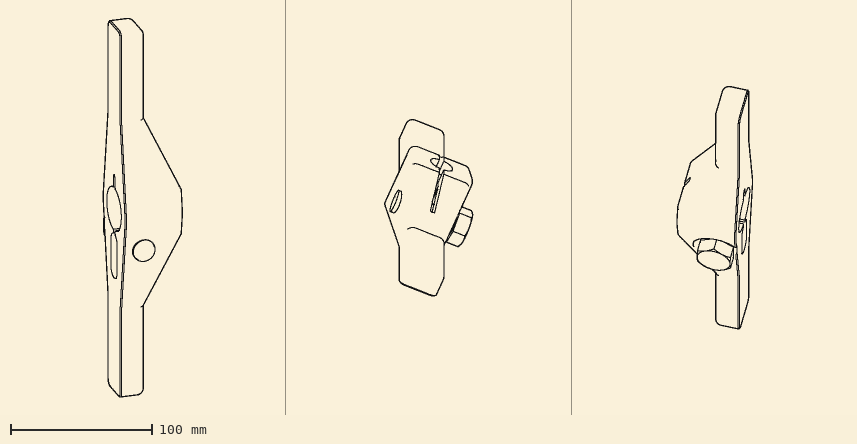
import cadquery as cq
import math

length = 279.5
arm_width = 28.8
arm_depth = 18.5
hub_width = 50.9
hub_depth = 44.0
hub_end_z = 71.2
hub_flat_half = 16.5
hub_overlap = 14.0
peak_radius = 23.5
edge_radius = 5.0
front_chamfer = 0.8

bore_diameter = 16.8
counterbore_diameter = 32.5
back_wall = 10.0

slit_width = 3.4
slit_top_z = 26.0
pocket_width = 14.0
pocket_top_z = -18.7
pocket_bottom_z = -52.5

bolt_y = 14.5
bolt_z = -24.5
shank_diameter = 16.2
shank_end_x = 23.7
head_across_flats = 24.0
head_height = 10.0
head_seat_x = -21.2
head_bevel_angle = 30.0
seat_diameter = 34.6

half_arm = arm_width / 2
half_hub = hub_width / 2
back_slope = (hub_depth - arm_depth) / (hub_end_z - hub_flat_half)
side_angle = math.atan((half_hub - half_arm) / hub_end_z)
peak_half_width = half_hub + peak_radius * (1 / math.cos(side_angle) - 1)
side_slope = (peak_half_width - half_arm) / hub_end_z

bolt_plane = cq.Workplane("YZ", origin=(head_seat_x, bolt_y, bolt_z))


def extrude_back(sketch, depth=hub_depth):
    """Extrude an XZ sketch from the front face toward +Y."""
    return sketch.extrude(-depth)


def extrude_across(points):
    """Closed (Y, Z) profile extruded over the whole hub width, centred on X = 0."""
    return cq.Workplane("YZ").polyline(points).close().extrude(hub_width, both=True)


def make_bar():
    bar = extrude_back(cq.Workplane("XZ").rect(arm_width, length), arm_depth)
    bar = bar.edges("|Y").fillet(edge_radius)
    return bar.faces(">Y").edges().fillet(edge_radius)


def make_hub():
    end_z = hub_end_z + hub_overlap
    end_half_width = half_arm - side_slope * hub_overlap
    end_depth = arm_depth - back_slope * hub_overlap
    outline = [
        (end_half_width, end_z),
        (peak_half_width, 0),
        (end_half_width, -end_z),
        (-end_half_width, -end_z),
        (-peak_half_width, 0),
        (-end_half_width, end_z),
    ]
    side_profile = [
        (0, end_z),
        (end_depth, end_z),
        (hub_depth, hub_flat_half),
        (hub_depth, -hub_flat_half),
        (end_depth, -end_z),
        (0, -end_z),
    ]
    plan = extrude_back(cq.Workplane("XZ").polyline(outline).close())
    plan = plan.edges("|Y and (<X or >X)").fillet(peak_radius)
    hub = plan.intersect(extrude_across(side_profile))
    middle = cq.selectors.BoxSelector(
        (-half_arm / 2, -2.8, -end_z - 2.8), (half_arm / 2, hub_depth + 2.8, end_z + 2.8)
    )
    rim = hub.edges("not (|Y or <Y)").edges(cq.selectors.InverseSelector(middle))
    return rim.fillet(edge_radius)


def make_slot(width, top_z, bottom_z):
    """Upright round-ended slot through the full depth."""
    sketch = cq.Workplane("XZ").center(0, (top_z + bottom_z) / 2)
    return extrude_back(sketch.slot2D(top_z - bottom_z, width, 90))


def make_pocket():
    """Slot whose floor keeps an even wall behind it, following the sloped back."""
    slot = make_slot(pocket_width, pocket_top_z, pocket_bottom_z)
    flat_depth = hub_depth - back_wall
    depth_limit = [
        (0, 0),
        (flat_depth, 0),
        (flat_depth, -hub_flat_half),
        (arm_depth - back_wall, -hub_end_z),
        (0, -hub_end_z),
    ]
    return slot.intersect(extrude_across(depth_limit))


def make_bore():
    bore = extrude_back(cq.Workplane("XZ").circle(bore_diameter / 2))
    counterbore = cq.Workplane("XZ").circle(counterbore_diameter / 2)
    return bore.union(extrude_back(counterbore, hub_depth - back_wall))


def make_head():
    """Hexagon with two corners up and down, its corners bevelled at the outer end."""
    head_corner_diameter = head_across_flats / math.cos(math.pi / 6)
    hexagon = bolt_plane.transformed(rotate=(0, 0, 90)).polygon(6, head_corner_diameter)
    hexagon = hexagon.extrude(-head_height)
    bevel_width = (head_corner_diameter - head_across_flats) / 2
    bevel_height = bevel_width * math.tan(math.radians(head_bevel_angle))
    bevel = bolt_plane.circle(head_corner_diameter / 2).extrude(-head_height)
    bevel = bevel.faces("<X").edges().chamfer(bevel_height, bevel_width)
    return hexagon.intersect(bevel)


body = make_bar().union(make_hub())
body = body.faces("<Y").edges().chamfer(front_chamfer)
body = body.cut(make_bore())
body = body.cut(make_slot(slit_width, slit_top_z, pocket_bottom_z))
body = body.cut(make_pocket())

spot_face = bolt_plane.circle(seat_diameter / 2).extrude(-half_hub)
shank = bolt_plane.circle(shank_diameter / 2).extrude(shank_end_x - head_seat_x)

result = body.cut(spot_face).union(make_head()).union(shank)